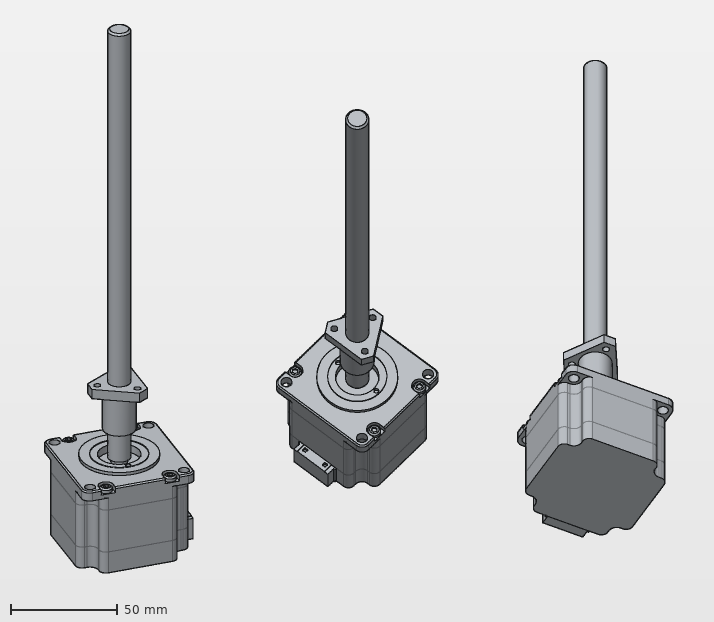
import cadquery as cq
import math

HOUSING_WIDTH = 56.2
HALF_WIDTH = HOUSING_WIDTH / 2
REAR_COVER_TOP = 11.2
STATOR_TOP = 33.6
FLANGE_BOTTOM = 40.0
FLANGE_TOP = 45.0
FLANGE_CORNER_RADIUS = 4.0
FLANGE_EDGE_CHAMFER = 0.7

MOUNT_PITCH = 47.14
MOUNT_OFFSET = MOUNT_PITCH / 2
MOUNT_HOLE_DIAMETER = 5.1
RELIEF_RADIUS = 4.1
RELIEF_WALL = MOUNT_OFFSET - RELIEF_RADIUS
LOBE_RADIUS = 3.4
LOBE_NEAR = RELIEF_WALL - LOBE_RADIUS
LOBE_FAR = HALF_WIDTH - LOBE_RADIUS

PILOT_DIAMETER = 38.1
PILOT_TOP = FLANGE_TOP + 1.6
RECESS_DIAMETER = 27.8
RECESS_DEPTH = 0.4
BORE_DIAMETER = 20.4
BORE_FLOOR = PILOT_TOP - 4.4
SPANNER_HOLE_DIAMETER = 2.4
SPANNER_HOLE_OFFSET = 11.9
SPANNER_HOLE_DEPTH = 1.5

POCKET_COUNT = 8
POCKET_DIAMETER = 4.8
POCKET_CIRCLE_RADIUS = 24.8
POCKET_COVER = 0.8

SCREW_X = LOBE_FAR
SCREW_Y = LOBE_NEAR
SLOT_WIDTH = 7.2
SLOT_FLOOR = FLANGE_TOP - 2.8
HEAD_DIAMETER = 6.0
HEAD_HEIGHT = 2.4
HEAD_EDGE_CHAMFER = 0.8
SHANK_DIAMETER = 3.0
SHANK_LENGTH = 8.0
SOCKET_WIDTH = 2.5
SOCKET_DEPTH = 1.0

CONNECTOR_WIDTH = 21.2
CONNECTOR_END_Y = 33.12
CONNECTOR_FOOT_WIDTH = 23.0
CONNECTOR_FOOT_THICKNESS = 0.8
CONNECTOR_CORE_WIDTH = 17.0
CONNECTOR_END_DROP = 0.3
LATCH_WIDTH = 1.8
LATCH_LENGTH = 1.8
LATCH_X = 6.2
LATCH_Y = 30.1
LATCH_DEPTH = 1.5

LEAD_SCREW_DIAMETER = 11.0
LEAD_SCREW_TOP = 273.1
LEAD_SCREW_SHOULDER = 44.8
LEAD_SCREW_CHAMFER = 1.0
JOURNAL_DIAMETER = 8.0

NUT_SLEEVE_BOTTOM = 60.0
NUT_FLANGE_BOTTOM = 80.0
NUT_TOP = 85.0
NUT_SLEEVE_DIAMETER = 16.0
NUT_SIDE_DISTANCE = 10.0
NUT_CORNER_DISTANCE = 14.8
NUT_HOLE_DIAMETER = 3.2
NUT_HOLE_CIRCLE_RADIUS = 11.0


def cylinder(diameter, bottom, top, x=0, y=0):
    """Upright cylinder between two heights."""
    return cq.Workplane("XY", origin=(x, y, bottom)).circle(diameter / 2).extrude(top - bottom)


def block(width, length, bottom, top, x=0, y=0):
    """Upright box centred on (x, y), between two heights."""
    return cq.Workplane("XY", origin=(x, y, bottom)).rect(width, length).extrude(top - bottom)


def mirrored_points(x, y):
    """The four points (+-x, +-y)."""
    return [(sx * x, sy * y) for sx in (-1, 1) for sy in (-1, 1)]


def polar_points(count, radius, first_angle):
    """Points evenly spaced around the Z axis."""
    angles = [math.radians(first_angle + i * 360 / count) for i in range(count)]
    return [(radius * math.cos(a), radius * math.sin(a)) for a in angles]


def relieved_section(bottom, top):
    """Square section whose corners are hollowed around the mounting holes, between rounded lobes."""
    diagonal = math.sqrt(0.5)
    lobe_mid = LOBE_RADIUS * diagonal
    relief_mid = MOUNT_OFFSET - RELIEF_RADIUS * diagonal

    def turned(x, y, quarter):
        for _ in range(quarter):
            x, y = -y, x
        return x, y

    outline = cq.Workplane("XY", origin=(0, 0, bottom)).moveTo(HALF_WIDTH, -LOBE_NEAR)
    for quarter in range(4):
        outline = outline.lineTo(*turned(HALF_WIDTH, LOBE_NEAR, quarter))
        outline = outline.threePointArc(
            turned(LOBE_FAR + lobe_mid, LOBE_NEAR + lobe_mid, quarter),
            turned(LOBE_FAR, RELIEF_WALL, quarter),
        )
        outline = outline.lineTo(*turned(MOUNT_OFFSET, RELIEF_WALL, quarter))
        outline = outline.threePointArc(
            turned(relief_mid, relief_mid, quarter),
            turned(RELIEF_WALL, MOUNT_OFFSET, quarter),
        )
        outline = outline.lineTo(*turned(RELIEF_WALL, LOBE_FAR, quarter))
        outline = outline.threePointArc(
            turned(LOBE_NEAR + lobe_mid, LOBE_FAR + lobe_mid, quarter),
            turned(LOBE_NEAR, HALF_WIDTH, quarter),
        )
    return outline.close().extrude(top - bottom)


def make_front_cover():
    """Relieved section under a full square flange with rounded corners and a chamfered front edge."""
    flange = block(HOUSING_WIDTH, HOUSING_WIDTH, FLANGE_BOTTOM, FLANGE_TOP)
    flange = flange.edges("|Z").fillet(FLANGE_CORNER_RADIUS)
    flange = flange.faces(">Z").edges().chamfer(FLANGE_EDGE_CHAMFER)
    return relieved_section(STATOR_TOP, FLANGE_BOTTOM).union(flange)


def screw_slot(x, y):
    """Recess for a screw head, round at its inner end and open through the side face."""
    outward = math.copysign(HALF_WIDTH, x)
    slot = cylinder(SLOT_WIDTH, SLOT_FLOOR, FLANGE_TOP, x, y)
    mouth = block(abs(outward), SLOT_WIDTH, SLOT_FLOOR, FLANGE_TOP, x + outward / 2, y)
    return slot.union(mouth)


def make_housing():
    housing = relieved_section(0, REAR_COVER_TOP)
    housing = housing.union(relieved_section(REAR_COVER_TOP, STATOR_TOP), clean=False)
    housing = housing.union(make_front_cover(), clean=False)
    housing = housing.union(cylinder(PILOT_DIAMETER, FLANGE_TOP, PILOT_TOP), clean=False)

    recess_floor = PILOT_TOP - RECESS_DEPTH
    cutters = [
        cylinder(RECESS_DIAMETER, recess_floor, PILOT_TOP),
        cylinder(BORE_DIAMETER, BORE_FLOOR, PILOT_TOP),
    ]
    for x in (-SPANNER_HOLE_OFFSET, SPANNER_HOLE_OFFSET):
        cutters.append(cylinder(SPANNER_HOLE_DIAMETER, recess_floor - SPANNER_HOLE_DEPTH, PILOT_TOP, x))
    for x, y in mirrored_points(MOUNT_OFFSET, MOUNT_OFFSET):
        cutters.append(cylinder(MOUNT_HOLE_DIAMETER, FLANGE_BOTTOM, FLANGE_TOP, x, y))
    for x, y in polar_points(POCKET_COUNT, POCKET_CIRCLE_RADIUS, 180 / POCKET_COUNT):
        cutters.append(cylinder(POCKET_DIAMETER, FLANGE_BOTTOM, FLANGE_TOP - POCKET_COVER, x, y))
    for x, y in mirrored_points(SCREW_X, SCREW_Y):
        cutters.append(screw_slot(x, y))
        cutters.append(cylinder(SHANK_DIAMETER, SLOT_FLOOR - SHANK_LENGTH, SLOT_FLOOR, x, y))
    for cutter in cutters:
        housing = housing.cut(cutter, clean=False)
    return housing


def make_cover_screw(x, y):
    """Socket screw with a chamfered head."""
    head_top = SLOT_FLOOR + HEAD_HEIGHT
    head = cylinder(HEAD_DIAMETER, SLOT_FLOOR, head_top, x, y)
    head = head.faces(">Z").chamfer(HEAD_EDGE_CHAMFER)
    shank = cylinder(SHANK_DIAMETER, SLOT_FLOOR - SHANK_LENGTH, SLOT_FLOOR, x, y)
    hexagon_diameter = SOCKET_WIDTH / math.cos(math.pi / 6)
    socket = cq.Workplane("XY", origin=(x, y, head_top)).polygon(6, hexagon_diameter)
    socket = socket.extrude(-SOCKET_DEPTH)
    return head.union(shank).cut(socket)


def make_connector():
    """Plug housing with lowered ends, a wider foot and two latch pockets."""
    length = CONNECTOR_END_Y - HALF_WIDTH
    middle_y = HALF_WIDTH + length / 2
    foot_y = HALF_WIDTH + CONNECTOR_FOOT_THICKNESS / 2
    end_top = REAR_COVER_TOP - CONNECTOR_END_DROP
    connector = block(CONNECTOR_WIDTH, length, 0, end_top, 0, middle_y)
    connector = connector.union(block(CONNECTOR_CORE_WIDTH, length, 0, REAR_COVER_TOP, 0, middle_y))
    connector = connector.union(
        block(CONNECTOR_FOOT_WIDTH, CONNECTOR_FOOT_THICKNESS, 0, end_top, 0, foot_y)
    )
    for x in (-LATCH_X, LATCH_X):
        latch = block(LATCH_WIDTH, LATCH_LENGTH, REAR_COVER_TOP - LATCH_DEPTH, REAR_COVER_TOP, x, LATCH_Y)
        connector = connector.cut(latch)
    return connector


def make_lead_screw():
    """Plain round screw, chamfered at the top, on a thinner journal that stands on the bore floor."""
    screw = cylinder(LEAD_SCREW_DIAMETER, LEAD_SCREW_SHOULDER, LEAD_SCREW_TOP)
    screw = screw.faces(">Z").chamfer(LEAD_SCREW_CHAMFER)
    return screw.union(cylinder(JOURNAL_DIAMETER, BORE_FLOOR, LEAD_SCREW_SHOULDER))


def make_nut():
    """Sleeve and triangular flange with one hole in each cut corner, bored for the lead screw."""
    flange_thickness = NUT_TOP - NUT_FLANGE_BOTTOM
    triangle = polar_points(3, 2 * NUT_SIDE_DISTANCE, 30)
    flange = cq.Workplane("XY", origin=(0, 0, NUT_FLANGE_BOTTOM)).polyline(triangle).close()
    flange = flange.extrude(flange_thickness)
    trim = polar_points(3, 2 * NUT_CORNER_DISTANCE, 90)
    trimmer = cq.Workplane("XY", origin=(0, 0, NUT_FLANGE_BOTTOM)).polyline(trim).close()
    flange = flange.intersect(trimmer.extrude(flange_thickness))

    nut = flange.union(cylinder(NUT_SLEEVE_DIAMETER, NUT_SLEEVE_BOTTOM, NUT_FLANGE_BOTTOM))
    nut = nut.cut(cylinder(LEAD_SCREW_DIAMETER, NUT_SLEEVE_BOTTOM, NUT_TOP))
    for x, y in polar_points(3, NUT_HOLE_CIRCLE_RADIUS, 30):
        nut = nut.cut(cylinder(NUT_HOLE_DIAMETER, NUT_FLANGE_BOTTOM, NUT_TOP, x, y))
    return nut


housing = make_housing()
connector = make_connector()
lead_screw = make_lead_screw()
nut = make_nut()
cover_screws = [make_cover_screw(x, y) for x, y in mirrored_points(SCREW_X, SCREW_Y)]

result = cq.Compound.makeCompound(
    [housing.val(), connector.val(), lead_screw.val(), nut.val(), *[s.val() for s in cover_screws]]
)